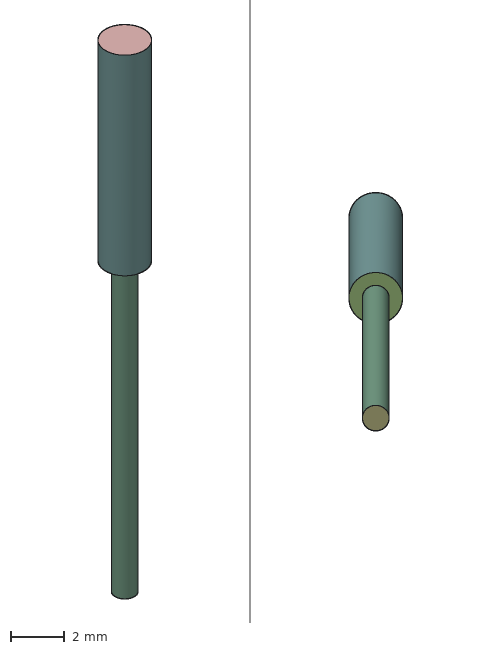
import cadquery as cq

total_length = 25.0
head_length = 10.0
head_diameter = 2.0
stem_diameter = head_diameter / 2
stem_length = total_length - head_length

stem = cq.Workplane("XY").circle(stem_diameter / 2).extrude(stem_length)

result = stem.faces(">Z").workplane().circle(head_diameter / 2).extrude(head_length)